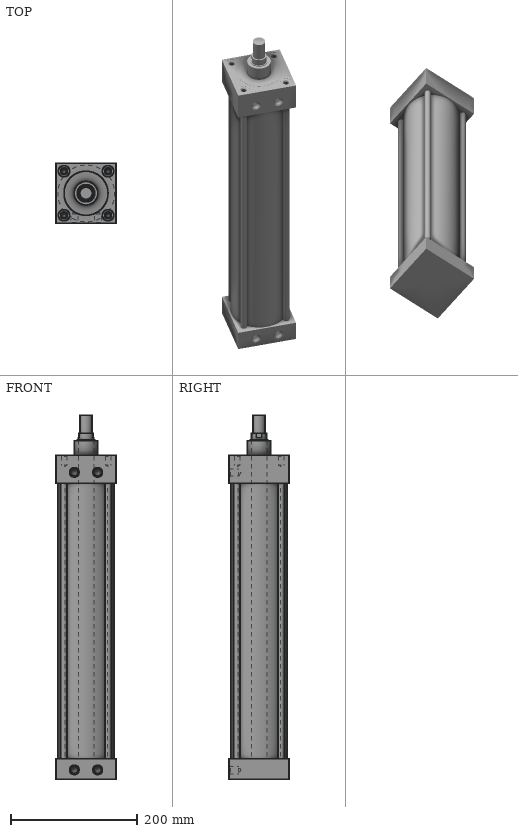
import cadquery as cq
import math

length = 578.0
head_side = 95.5

rear_head_height = 33.0
front_head_base = 470.0
front_head_top = 514.0
boss_top = 537.5

tube_diameter = 90.0
boss_diameter = 37.5

tie_rod_spacing = 70.0
tie_rod_diameter = 10.0

socket_tip_angle = 120.0
tie_socket_mouth_diameter = 11.0
tie_socket_diameter = 8.0
tie_socket_depth = 15.0
port_mouth_diameter = 15.0
port_diameter = 11.5
port_depth = 15.0

spot_face_diameter = 18.0
spot_face_depth = 0.35

port_spacing = 37.0
rear_port_height = 15.0
front_port_height = 487.0

pad_diameter = 70.0
pad_height = 0.3

wiper_diameter = 28.0
wiper_height = 1.0

rod_diameter = 24.0
rod_end_diameter = 19.5
rod_shoulder = 549.0
rod_bottom = rear_head_height
flat_spacing = 22.5
flat_base = 542.0


def cylinder(diameter, base, top):
    return cq.Workplane("XY").workplane(offset=base).circle(diameter / 2).extrude(top - base)


def head(base, top):
    return cq.Workplane("XY").workplane(offset=base).rect(head_side, head_side).extrude(top - base)


def tie_rods():
    return (
        cq.Workplane("XY")
        .workplane(offset=rear_head_height)
        .rect(tie_rod_spacing, tie_rod_spacing, forConstruction=True)
        .vertices()
        .circle(tie_rod_diameter / 2)
        .extrude(front_head_base - rear_head_height)
    )


def socket(mouth_diameter, diameter, depth):
    """Cutter pointing down from the origin, with a 45 degree mouth and a drill tip."""
    mouth_radius = mouth_diameter / 2
    radius = diameter / 2
    tip_length = radius / math.tan(math.radians(socket_tip_angle / 2))
    return (
        cq.Workplane("XZ")
        .polyline(
            [
                (0, 0),
                (mouth_radius, 0),
                (radius, radius - mouth_radius),
                (radius, -depth),
                (0, -depth - tip_length),
            ]
        )
        .close()
        .revolve(360, (0, 0, 0), (0, 1, 0))
    )


def cut_tie_sockets(housing):
    half = tie_rod_spacing / 2
    floor = front_head_top - spot_face_depth
    cutter = socket(tie_socket_mouth_diameter, tie_socket_diameter, tie_socket_depth).translate((0, 0, floor))
    cutter = cutter.union(cylinder(spot_face_diameter, floor, front_head_top))
    for x in (-half, half):
        for y in (-half, half):
            housing = housing.cut(cutter.translate((x, y, 0)))
    return housing


def cut_ports(housing):
    cutter = socket(port_mouth_diameter, port_diameter, port_depth).rotate((0, 0, 0), (1, 0, 0), 90)
    for x in (-port_spacing / 2, port_spacing / 2):
        for z in (rear_port_height, front_port_height):
            housing = housing.cut(cutter.translate((x, -head_side / 2, z)))
    return housing


def make_housing():
    housing = head(0, rear_head_height).union(head(front_head_base, front_head_top))
    housing = housing.union(cylinder(tube_diameter, rear_head_height, front_head_base))
    housing = housing.union(tie_rods())
    housing = housing.union(cylinder(pad_diameter, front_head_top, front_head_top + pad_height))
    housing = housing.union(cylinder(boss_diameter, front_head_top, boss_top))
    housing = housing.union(cylinder(wiper_diameter, boss_top, boss_top + wiper_height))
    housing = cut_tie_sockets(housing)
    housing = cut_ports(housing)
    return housing.cut(cylinder(rod_diameter, rod_bottom, length))


def make_rod():
    rod = cylinder(rod_diameter, rod_bottom, flat_base)
    flatted = cylinder(rod_diameter, flat_base, rod_shoulder).intersect(
        cq.Workplane("XY").box(flat_spacing, rod_diameter, 2 * length)
    )
    return rod.union(flatted).union(cylinder(rod_end_diameter, rod_shoulder, length))


housing = make_housing()
rod = make_rod()
result = cq.Compound.makeCompound([housing.val(), rod.val()])